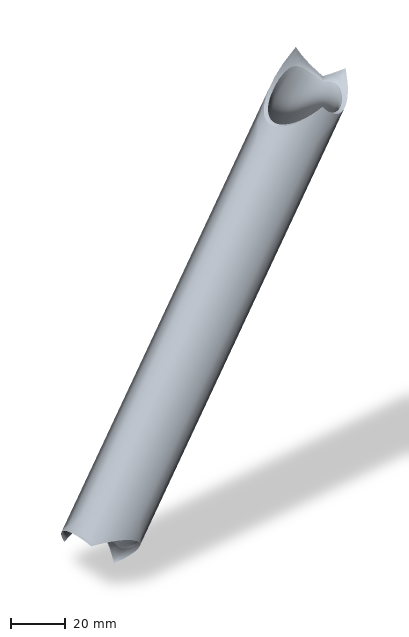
import cadquery as cq

outer_radius = 14.0
wall = 1.5
run_x = 4.2
run_y = 114.7
run_z = 166.8

pipe_reach = 70.0
overrun = 35.0

lower_corner = cq.Vector(-run_x / 2, -run_y / 2, -run_z / 2)
upper_corner = cq.Vector(run_x / 2, run_y / 2, run_z / 2)
axis = (upper_corner - lower_corner).normalized()
tube_length = (upper_corner - lower_corner).Length


def rod(radius, start, direction, length):
    return cq.Workplane(cq.Solid.makeCylinder(radius, length, start, direction))


def tube_stock():
    start = lower_corner - axis * overrun
    length = tube_length + 2 * overrun
    outside = rod(outer_radius, start, axis, length)
    return outside.cut(rod(outer_radius - wall, start, axis, length))


def mitred_corner(centre):
    """Solid elbow with legs toward -Y and +X, mitred on the plane y = -x."""
    y_start = centre + cq.Vector(0, 2 * outer_radius, 0)
    x_start = centre - cq.Vector(2 * outer_radius, 0, 0)
    y_leg = rod(outer_radius, y_start, cq.Vector(0, -1, 0), pipe_reach)
    x_leg = rod(outer_radius, x_start, cq.Vector(1, 0, 0), pipe_reach)
    size = 2 * pipe_reach
    plane = cq.Workplane("XY", origin=(centre.x, centre.y, centre.z - size / 2))
    y_side = plane.polyline([(-size, size), (size, -size), (-size, -size)]).close().extrude(size)
    x_side = plane.polyline([(-size, size), (size, -size), (size, size)]).close().extrude(size)
    return y_leg.intersect(y_side).union(x_leg.intersect(x_side))


coped = tube_stock()
for corner in (lower_corner, upper_corner):
    coped = coped.cut(mitred_corner(corner))

result = cq.Workplane(max(coped.solids().vals(), key=lambda solid: solid.Volume()))